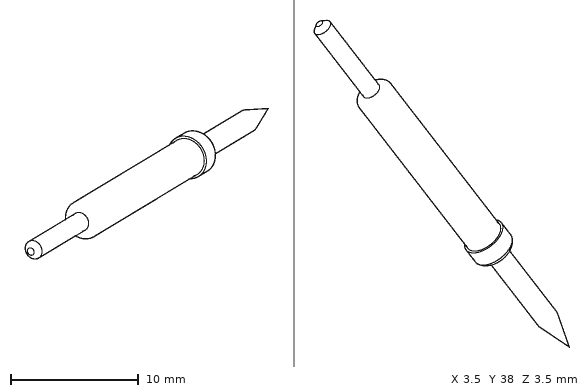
import cadquery as cq

total_length = 38.0

plunger_radius = 0.9
point_length = 3.3
plunger_length = 11.02

barrel_length = 19.08
barrel_radius = 1.55
collar_radius = 1.75
collar_length = 2.0
crown_height = 0.57
back_round = 0.57

pin_radius = 0.75
pin_flat_radius = 0.3
pin_cone_length = 0.45

tip_y = total_length / 2
pin_end_y = -total_length / 2
point_base_y = tip_y - point_length
collar_front_y = tip_y - plunger_length
collar_back_y = collar_front_y - collar_length
barrel_back_y = collar_front_y - barrel_length


def revolve_about_y(profile):
    """Turn a closed half profile in the XY plane a full circle about Y."""
    return profile.close().revolve(360, (0, 0, 0), (0, 1, 0))


def make_plunger():
    profile = (
        cq.Workplane("XY")
        .moveTo(0, tip_y)
        .lineTo(plunger_radius, point_base_y)
        .lineTo(plunger_radius, collar_front_y)
        .lineTo(0, collar_front_y)
    )
    return revolve_about_y(profile)


def make_barrel():
    crown_width = collar_radius - plunger_radius
    crown_arc_radius = (crown_width**2 + crown_height**2) / (2 * crown_height)
    profile = (
        cq.Workplane("XY")
        .moveTo(0, collar_front_y)
        .lineTo(plunger_radius, collar_front_y)
        .radiusArc((collar_radius, collar_front_y - crown_height), crown_arc_radius)
        .lineTo(collar_radius, collar_back_y)
        .lineTo(barrel_radius, collar_back_y)
        .lineTo(barrel_radius, barrel_back_y)
        .lineTo(0, barrel_back_y)
    )
    barrel = revolve_about_y(profile)
    return barrel.faces("<Y").edges().fillet(back_round)


def make_tail_pin():
    cone_base_y = pin_end_y + pin_cone_length
    profile = (
        cq.Workplane("XY")
        .moveTo(0, barrel_back_y)
        .lineTo(pin_radius, barrel_back_y)
        .lineTo(pin_radius, cone_base_y)
        .lineTo(pin_flat_radius, pin_end_y)
        .lineTo(0, pin_end_y)
    )
    return revolve_about_y(profile)


result = make_barrel().union(make_plunger()).union(make_tail_pin())